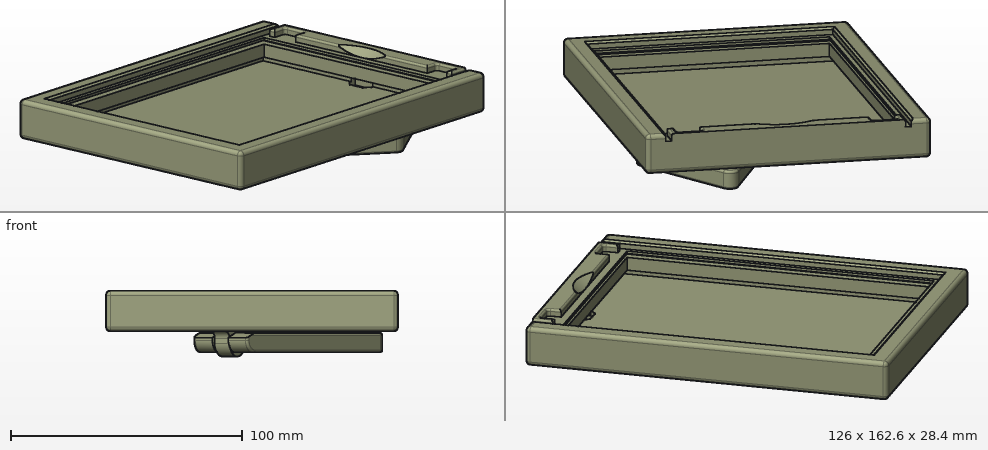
import cadquery as cq
import math

WIDTH = 126.0
LENGTH = 162.6
HEIGHT = 17.5
EDGE_ROUND = 2.0

OPENING_WIDTH = 108.6
OPENING_FRONT_Y = -72.2
OPENING_BEVEL = 1.0
LEDGE_Z = 14.3

CAVITY_WIDTH = 104.0
CAVITY_FRONT_Y = -68.8
CAVITY_REAR_Y = 69.0
FLOOR_Z = 2.3
LEDGE_LIP = 1.1
GROOVE_HEIGHT = 1.8
GROOVE_TOP_Z = LEDGE_Z - LEDGE_LIP
FLOOR_SLOT_HEIGHT = 3.3
UNDERCUT_DEPTH = 4.0

PORT_WIDTH = 12.4
PORT_LENGTH = 6.5
PORT_CORNER = 2.6
PORT_FRONT_Y = 69.3

STRIP_HEIGHT = HEIGHT - LEDGE_Z
STRIP_HALF_WIDTH = 51.7
STRIP_FRONT_Y = 72.7
ARM_FRONT_Y = 72.2
ARM_INNER_X = 48.8
NOTCH_INNER_X = 37.4
NOTCH_REAR_Y = 78.9
NOTCH_ROUND = 1.3
STRIP_ROUND = 1.0

SCOOP_HALF_WIDTH = 14.1
SCOOP_LENGTH = 4.5

HINGE_TURN = -35.0
HINGE_FRONT = -32.8
HINGE_LEFT = -7.8
HINGE_RIGHT = 20.5
LUG_FRONT = -31.5
LUG_LEFT = 2.5
LUG_RIGHT = 10.2
LUG_GAP = 0.3
LUG_RADIUS = 5.9
LUG_AXIS_Z = -5.0
LUG_FLARE = 3.1

STAND_TOP = -0.7
STAND_BOTTOM = -9.1
KNUCKLE_RADIUS = 5.2
KNUCKLE_SHOULDER_Z = -2.8
STAND_LEFT_DIRECTION = 65.2
STAND_RIGHT_DIRECTION = 50.5
STAND_LEFT_LENGTH = 119.0
STAND_RIGHT_LENGTH = 93.0
STAND_CORNER_ROUND = 3.9
STAND_EDGE_ROUND = 1.1


def block(x_min, x_max, y_min, y_max, z_min, z_max):
    return cq.Workplane("XY").box(
        x_max - x_min, y_max - y_min, z_max - z_min, centered=False
    ).translate((x_min, y_min, z_min))


def in_hinge_place(body):
    return body.rotate((0, 0, 0), (0, 0, 1), HINGE_TURN)


def from_hinge(along, outward):
    """Housing X and Y of a point given along the hinge axis and towards the stand's free end."""
    turn = math.radians(HINGE_TURN)
    return (
        along * math.cos(turn) - outward * math.sin(turn),
        along * math.sin(turn) + outward * math.cos(turn),
    )


def step(point, direction, distance):
    angle = math.radians(direction)
    return (point[0] + distance * math.cos(angle), point[1] + distance * math.sin(angle))


def make_shell():
    shell = cq.Workplane("XY").box(WIDTH, LENGTH, HEIGHT, centered=(True, True, False))
    return shell.edges().fillet(EDGE_ROUND)


def lid_opening():
    half = OPENING_WIDTH / 2
    rear = LENGTH / 2
    opening = block(-half, half, OPENING_FRONT_Y, rear, LEDGE_Z, HEIGHT)
    overrun = 2 * OPENING_BEVEL
    bevel = (
        cq.Workplane("XY", origin=(0, (OPENING_FRONT_Y + rear + overrun) / 2, HEIGHT))
        .rect(OPENING_WIDTH + 2 * OPENING_BEVEL, rear + overrun - OPENING_FRONT_Y + 2 * OPENING_BEVEL)
        .extrude(-OPENING_BEVEL, taper=45)
    )
    return opening.union(bevel)


def cavity():
    half = CAVITY_WIDTH / 2
    room = block(-half, half, CAVITY_FRONT_Y, CAVITY_REAR_Y, FLOOR_Z, LEDGE_Z)
    groove = undercut(GROOVE_TOP_Z - GROOVE_HEIGHT, GROOVE_TOP_Z)
    floor_slot = undercut(FLOOR_Z, FLOOR_Z + FLOOR_SLOT_HEIGHT)
    return room.union(groove).union(floor_slot)


def undercut(z_min, z_max):
    reach = CAVITY_WIDTH / 2 + UNDERCUT_DEPTH
    front = CAVITY_FRONT_Y - UNDERCUT_DEPTH
    rear = CAVITY_REAR_Y + UNDERCUT_DEPTH
    return block(-reach, reach, front, rear, z_min, z_max)


def floor_port():
    half = PORT_WIDTH / 2
    port = block(-half, half, PORT_FRONT_Y, PORT_FRONT_Y + PORT_LENGTH, 0, FLOOR_Z + FLOOR_SLOT_HEIGHT)
    return port.edges("|Z and <Y").chamfer(PORT_CORNER)


def rear_strip():
    rear = LENGTH / 2
    right_half = [
        (NOTCH_INNER_X, STRIP_FRONT_Y),
        (NOTCH_INNER_X, NOTCH_REAR_Y),
        (ARM_INNER_X, NOTCH_REAR_Y),
        (ARM_INNER_X, ARM_FRONT_Y),
        (STRIP_HALF_WIDTH, ARM_FRONT_Y),
        (STRIP_HALF_WIDTH, rear),
    ]
    left_half = [(-x, y) for x, y in reversed(right_half)]
    strip = (
        cq.Workplane("XY", origin=(0, 0, LEDGE_Z))
        .polyline(right_half + left_half)
        .close()
        .extrude(STRIP_HEIGHT)
    )
    notch_corners = cq.selectors.BoxSelector(
        (-STRIP_HALF_WIDTH, (STRIP_FRONT_Y + NOTCH_REAR_Y) / 2, LEDGE_Z),
        (STRIP_HALF_WIDTH, (NOTCH_REAR_Y + rear) / 2, HEIGHT),
    )
    strip = strip.edges("|Z").edges(notch_corners).fillet(NOTCH_ROUND)
    strip = strip.faces(">Z").edges("not >Y").fillet(STRIP_ROUND)
    return strip.cut(thumb_scoop())


def thumb_scoop():
    """Large cylinder leaning down to the front, so it leaves an arc on the strip's top."""
    slope = math.atan2(STRIP_HEIGHT, SCOOP_LENGTH)
    sagitta = SCOOP_LENGTH * math.sin(slope)
    radius = (SCOOP_HALF_WIDTH**2 + sagitta**2) / (2 * sagitta)
    cutter = (
        cq.Workplane("XZ")
        .center(0, radius)
        .circle(radius)
        .extrude(radius, both=True)
        .rotate((0, 0, 0), (1, 0, 0), math.degrees(slope))
    )
    return cutter.translate((0, STRIP_FRONT_Y + SCOOP_LENGTH, HEIGHT))


def hinge_lug():
    middle = LUG_FRONT + LUG_RADIUS
    profile = (
        cq.Workplane("YZ", origin=(LUG_LEFT, 0, 0))
        .moveTo(LUG_FRONT - LUG_FLARE, 0)
        .radiusArc((LUG_FRONT, -LUG_FLARE), LUG_FLARE)
        .lineTo(LUG_FRONT, LUG_AXIS_Z)
        .threePointArc((middle, LUG_AXIS_Z - LUG_RADIUS), (middle + LUG_RADIUS, LUG_AXIS_Z))
        .lineTo(middle + LUG_RADIUS, 0)
        .close()
        .extrude(LUG_RIGHT - LUG_LEFT)
    )
    return in_hinge_place(profile)


def make_housing():
    return (
        make_shell()
        .cut(lid_opening())
        .cut(cavity())
        .cut(floor_port())
        .union(rear_strip())
        .union(hinge_lug())
    )


def stand_outline():
    left_hinge = from_hinge(HINGE_LEFT, HINGE_FRONT)
    right_hinge = from_hinge(HINGE_RIGHT, HINGE_FRONT)
    left_end = step(left_hinge, STAND_LEFT_DIRECTION, STAND_LEFT_LENGTH)
    right_end = step(right_hinge, STAND_RIGHT_DIRECTION, STAND_RIGHT_LENGTH)
    plate = (
        cq.Workplane("XY", origin=(0, 0, STAND_BOTTOM))
        .polyline([left_hinge, right_hinge, right_end, left_end])
        .close()
        .extrude(STAND_TOP - STAND_BOTTOM)
    )
    for x, y in (left_end, right_end):
        corner = cq.selectors.NearestToPointSelector((x, y, (STAND_TOP + STAND_BOTTOM) / 2))
        plate = plate.edges("|Z").edges(corner).fillet(STAND_CORNER_ROUND)
    return plate


def stand_side_profile():
    """Stand seen along the hinge axis, with its hinge end rounded below."""
    middle = HINGE_FRONT + KNUCKLE_RADIUS
    axis_z = STAND_BOTTOM + KNUCKLE_RADIUS
    diagonal = KNUCKLE_RADIUS * math.sqrt(0.5)
    far = HINGE_FRONT + 2 * STAND_LEFT_LENGTH
    body = (
        cq.Workplane("YZ")
        .moveTo(HINGE_FRONT, STAND_TOP)
        .lineTo(HINGE_FRONT, axis_z)
        .threePointArc((middle - diagonal, axis_z - diagonal), (middle, STAND_BOTTOM))
        .lineTo(far, STAND_BOTTOM)
        .lineTo(far, STAND_TOP)
        .close()
        .extrude(LENGTH, both=True)
    )
    return in_hinge_place(body)


def knuckle_slope():
    """Wedge cut from the top of the knuckles so that they clear the housing when they turn."""
    middle = HINGE_FRONT + KNUCKLE_RADIUS
    wedge = (
        cq.Workplane("YZ")
        .polyline([(HINGE_FRONT, KNUCKLE_SHOULDER_Z), (middle, STAND_TOP), (HINGE_FRONT, STAND_TOP)])
        .close()
        .extrude(LENGTH, both=True)
    )
    return in_hinge_place(wedge)


def lug_slot():
    """Slot for the housing's lug, open through the top, bottom and hinge end of the stand."""
    rear = LUG_FRONT + 2 * LUG_RADIUS + LUG_GAP
    slot = block(LUG_LEFT - LUG_GAP, LUG_RIGHT + LUG_GAP, HINGE_FRONT, rear, STAND_BOTTOM, STAND_TOP)
    return in_hinge_place(slot)


def rim_edges():
    """Edges around the stand's sides, leaving out the hinge-axis edges and far corner seams."""
    along_hinge = cq.selectors.ParallelDirSelector(cq.Vector(*from_hinge(1, 0), 0))
    upright = cq.selectors.ParallelDirSelector(cq.Vector(0, 0, 1))
    far_half = cq.selectors.BoxSelector((-WIDTH, 0, STAND_BOTTOM), (WIDTH, LENGTH, STAND_TOP))
    far_seams = cq.selectors.AndSelector(upright, far_half)
    return cq.selectors.InverseSelector(cq.selectors.SumSelector(along_hinge, far_seams))


def make_stand():
    stand = stand_outline().intersect(stand_side_profile())
    stand = stand.edges(rim_edges()).fillet(STAND_EDGE_ROUND)
    return stand.cut(knuckle_slope()).cut(lug_slot())


housing = make_housing()
stand = make_stand()
result = cq.Compound.makeCompound([housing.val(), stand.val()])